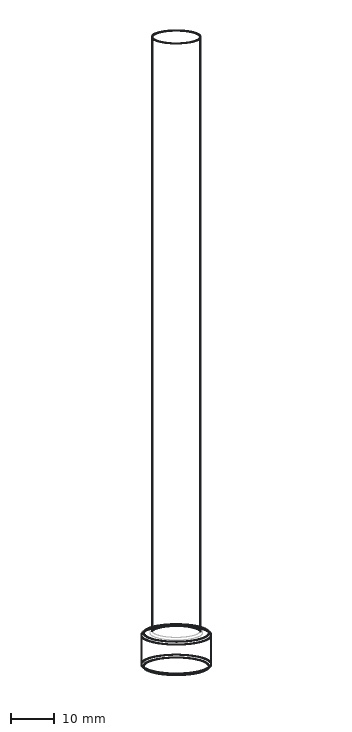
import cadquery as cq

total_length = 150
shank_diameter = 11.1
head_diameter = 16.0
head_height = 8.0

head_edge_break = 0.52
neck_fillet = 0.5

shank_radius = shank_diameter / 2
head_radius = head_diameter / 2
head_top_edge_z = head_height - head_edge_break

half_section = (
    cq.Workplane("XZ")
    .lineTo(head_radius - head_edge_break, 0)
    .lineTo(head_radius, head_edge_break)
    .lineTo(head_radius, head_top_edge_z)
    .lineTo(head_radius - head_edge_break, head_height)
    .lineTo(shank_radius + neck_fillet, head_height)
    .radiusArc((shank_radius, head_height + neck_fillet), neck_fillet)
    .lineTo(shank_radius, total_length)
    .lineTo(0, total_length)
    .close()
)

result = half_section.revolve(360, (0, 0, 0), (0, 1, 0))